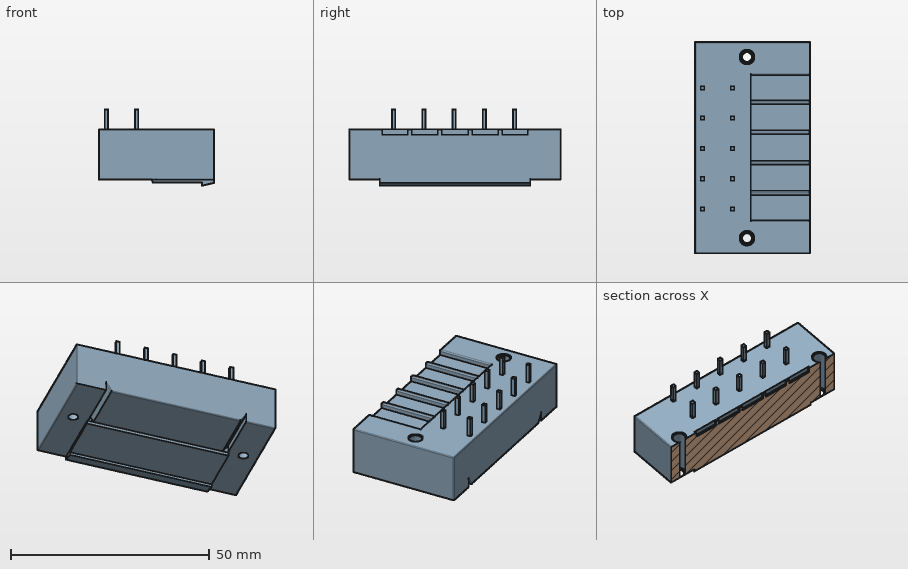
import cadquery as cq

LENGTH_X = 29.0
WIDTH_Y = 53.35
BODY_HEIGHT = 12.7
EDGE_RADIUS = 0.2
LEFT = -LENGTH_X / 2
RIGHT = LENGTH_X / 2

CHANNEL_COUNT = 5
PITCH = 7.65
RIB_THICKNESS = 0.4
CHANNELS_SPAN = 37.25
CHANNEL_START = LEFT + 14.1
CHANNEL_DEPTH = 1.45
RIB_RADIUS = 0.3

PIN_SIZE = 0.9
PIN_LENGTH = 5.0
FIRST_PIN_ROW_X = LEFT + 1.85
PIN_ROWS_X = (FIRST_PIN_ROW_X, FIRST_PIN_ROW_X + PITCH)
PIN_OFFSET_Y = -0.2

HOLE_X = LEFT + 13.1
HOLE_Y = 22.85
HOLE_RADIUS = 1.6
HOLE_EXIT_RADIUS = 1.25
HOLE_RIM = 0.25

LATCH_WIDTH = 38.0
LATCH_START = LEFT + 13.3
LATCH_THICKNESS = 0.75
LATCH_LEAD_IN = 0.25
HOOK_START = LEFT + 25.9
HOOK_HEIGHT = 1.6
HOOK_END_HEIGHT = 0.85

NOTCH_OUTER_Y = 18.8
NOTCH_WIDTH = 1.45
NOTCH_HEIGHT = 2.25

POLE_PLACES = [(i - (CHANNEL_COUNT - 1) / 2) * PITCH for i in range(CHANNEL_COUNT)]


def make_channel(y_min, y_max):
    """Channel with vertical walls whose long upper edges are rounded over."""
    floor = BODY_HEIGHT - CHANNEL_DEPTH
    round_base = BODY_HEIGHT - RIB_RADIUS
    return (
        cq.Workplane("YZ", origin=(CHANNEL_START, 0, 0))
        .moveTo(y_min, BODY_HEIGHT)
        .radiusArc((y_min + RIB_RADIUS, round_base), RIB_RADIUS)
        .lineTo(y_min + RIB_RADIUS, floor)
        .lineTo(y_max - RIB_RADIUS, floor)
        .lineTo(y_max - RIB_RADIUS, round_base)
        .radiusArc((y_max, BODY_HEIGHT), RIB_RADIUS)
        .close()
        .extrude(RIGHT - CHANNEL_START)
    )


def make_hole(y):
    """Straight bore with a chamfered upper rim and a 45 degree taper to a narrower exit."""
    return (
        cq.Workplane("XZ", origin=(HOLE_X, y, 0))
        .polyline([
            (0, 0),
            (HOLE_EXIT_RADIUS, 0),
            (HOLE_RADIUS, HOLE_RADIUS - HOLE_EXIT_RADIUS),
            (HOLE_RADIUS, BODY_HEIGHT - HOLE_RIM),
            (HOLE_RADIUS + HOLE_RIM, BODY_HEIGHT),
            (0, BODY_HEIGHT),
        ])
        .close()
        .revolve(360, (0, 0, 0), (0, 1, 0))
    )


def make_notch(side):
    """Relief notch; side is +1 for +Y and -1 for -Y."""
    return (
        cq.Workplane("YZ", origin=(LEFT, 0, 0))
        .polyline([
            (side * NOTCH_OUTER_Y, 0),
            (side * NOTCH_OUTER_Y, NOTCH_HEIGHT),
            (side * (NOTCH_OUTER_Y - NOTCH_WIDTH), 0),
        ])
        .close()
        .extrude(LATCH_START - LEFT)
    )


def make_body():
    """Notched block with rounded edges.

    The -X/-Y upright edge and the lower -X edge beyond the +Y notch stay sharp.
    """
    body = cq.Workplane("XY").box(LENGTH_X, WIDTH_Y, BODY_HEIGHT, centered=(True, True, False))
    for side in (-1, 1):
        body = body.cut(make_notch(side))

    slope_y = NOTCH_OUTER_Y - NOTCH_WIDTH / 2
    lower_edge_middles = [
        (0, -WIDTH_Y / 2, 0),
        (LEFT, -(NOTCH_OUTER_Y + WIDTH_Y / 2) / 2, 0),
        (LEFT, -slope_y, NOTCH_HEIGHT / 2),
        (LEFT, 0, 0),
        (LEFT, slope_y, NOTCH_HEIGHT / 2),
    ]
    rounded = body.faces(">Z or >X or >Y").edges()
    for middle in lower_edge_middles:
        rounded = rounded.add(body.edges(cq.selectors.NearestToPointSelector(middle)))
    return rounded.fillet(EDGE_RADIUS)


def make_latch():
    """Plate profile overlapping the block, extruded along Y."""
    return (
        cq.Workplane("XZ")
        .polyline([
            (LATCH_START, 0),
            (LATCH_START + LATCH_LEAD_IN, -LATCH_THICKNESS),
            (HOOK_START, -LATCH_THICKNESS),
            (HOOK_START, -HOOK_HEIGHT),
            (RIGHT, -HOOK_END_HEIGHT),
            (RIGHT, EDGE_RADIUS),
            (LATCH_START, EDGE_RADIUS),
        ])
        .close()
        .extrude(LATCH_WIDTH / 2, both=True)
    )


def make_pins():
    """All terminal pins, standing on the top face."""
    pin_places = [
        (x, PIN_OFFSET_Y + pole_y)
        for x in PIN_ROWS_X
        for pole_y in POLE_PLACES
    ]
    return (
        cq.Workplane("XY", origin=(0, 0, BODY_HEIGHT))
        .pushPoints(pin_places)
        .rect(PIN_SIZE, PIN_SIZE)
        .extrude(PIN_LENGTH)
    )


result = make_body()

half_width = (PITCH - RIB_THICKNESS) / 2
for pole_y in POLE_PLACES:
    low = max(pole_y - half_width, -CHANNELS_SPAN / 2)
    high = min(pole_y + half_width, CHANNELS_SPAN / 2)
    result = result.cut(make_channel(low, high))

for side in (-1, 1):
    result = result.cut(make_hole(side * HOLE_Y))

result = result.union(make_latch()).union(make_pins())